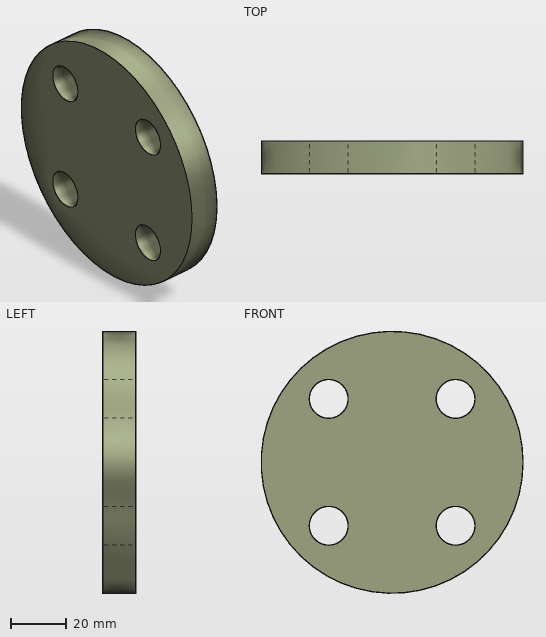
import cadquery as cq

disc_diameter = 95
disc_thickness = 12.0

hole_diameter = 14.0
hole_spacing = 46.0

disc = cq.Workplane("XZ").circle(disc_diameter / 2).extrude(disc_thickness)

result = (
    disc.faces("<Y")
    .workplane(centerOption="CenterOfMass")
    .rect(hole_spacing, hole_spacing, forConstruction=True)
    .vertices()
    .hole(hole_diameter)
)